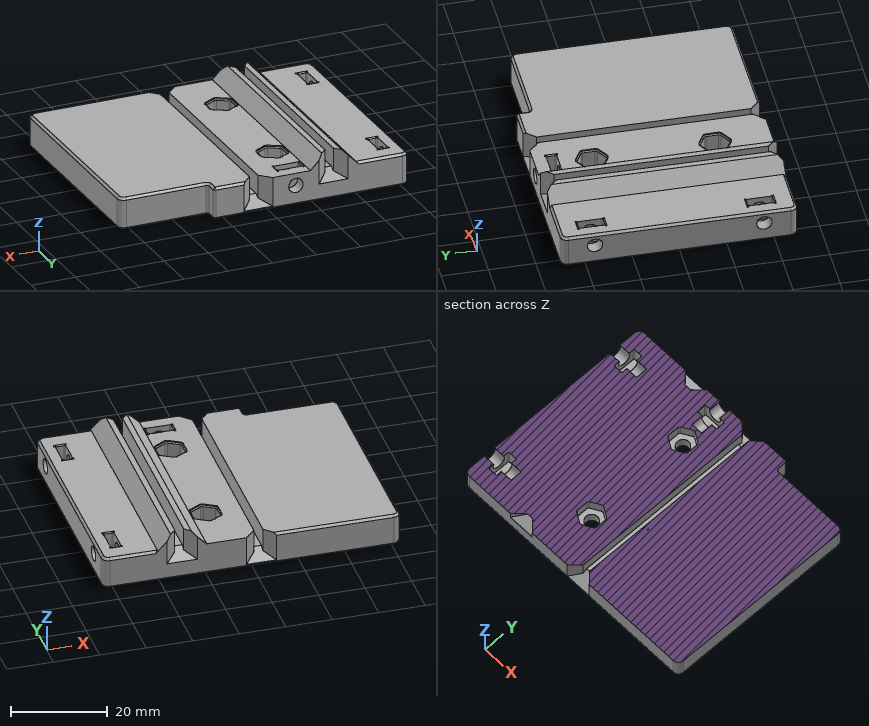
import cadquery as cq

LENGTH = 64.0
WIDTH = 50.0
HEIGHT = 10.0
PLATE_HEIGHT = 7.0
CORNER_RADIUS = 1.5
TOP_CHAMFER = 0.5
BOTTOM_CHAMFER = 0.25

NOTCH_LEFT = 44.1
NOTCH_DEPTH = 2.95
NOTCH_CORNER_RADIUS = 0.5

RIDGE_X = 17.0
RIDGE_TOP_WIDTH = 4.5
RIDGE_RISE = HEIGHT - PLATE_HEIGHT

GROOVE_WIDTH = 1.9
GROOVE_SPACING = 17.0
RIDGE_GROOVE_FLOOR = 5.5
PLATE_GROOVE_FLOOR = 2.4
FLARE_LENGTH = 2.3
RAMP_LENGTH = 3.4
RAMP_DROP = 1.9

SCREW_DIAMETER = 3.2
NUT_X = 25.55
NUT_FLATS = 5.6
NUT_POCKET_DEPTH = 4.5
NUT_POCKET_RADIUS = 0.5
NUT_INSET_Y = 12.0
MOUTH_CHAMFER = 0.25

SLOT_THICKNESS = 2.25
SLOT_LENGTH = 5.6
SLOT_RADIUS = 0.25
SLOT_MOUTH_THICKNESS = 2.7
SLOT_FLOOR = 1.3
SLOT_SETBACK = 4.0
SIDE_SCREW_INSET_Y = 7.1
SIDE_SCREW_Z = 4.2
SIDE_SCREW_DEPTH = 8.0


def make_plate():
    notch_y = WIDTH - NOTCH_DEPTH
    outline = [
        (0, 0),
        (LENGTH, 0),
        (LENGTH, notch_y),
        (NOTCH_LEFT, notch_y),
        (NOTCH_LEFT, WIDTH),
        (0, WIDTH),
    ]
    plate = cq.Workplane("XY").polyline(outline).close().extrude(PLATE_HEIGHT)
    plate = plate.edges("|Z and (<X or >X)").fillet(CORNER_RADIUS)
    for corner_y in (notch_y, WIDTH):
        corner = cq.selectors.NearestToPointSelector((NOTCH_LEFT, corner_y, PLATE_HEIGHT / 2))
        plate = plate.edges(corner).fillet(NOTCH_CORNER_RADIUS)
    plate = plate.faces(">Z").chamfer(TOP_CHAMFER)
    return plate.faces("<Z").chamfer(BOTTOM_CHAMFER)


def make_ridge():
    """Ridge and the square-edged plate top beside it, up to the plate groove."""
    half_top = RIDGE_TOP_WIDTH / 2
    half_base = half_top + RIDGE_RISE
    left_foot = RIDGE_X - half_base - TOP_CHAMFER
    right_end = RIDGE_X + GROOVE_SPACING
    foot_z = PLATE_HEIGHT - TOP_CHAMFER
    profile = [
        (left_foot, foot_z),
        (RIDGE_X - half_top, HEIGHT),
        (RIDGE_X + half_top, HEIGHT),
        (RIDGE_X + half_base, PLATE_HEIGHT),
        (right_end, PLATE_HEIGHT),
        (right_end, BOTTOM_CHAMFER),
        (left_foot, BOTTOM_CHAMFER),
    ]
    return cq.Workplane("XZ").polyline(profile).close().extrude(-WIDTH)


def make_groove(center_x, floor_z):
    """Groove with ends that widen sideways and ramp down."""
    half = GROOVE_WIDTH / 2
    wide = half + FLARE_LENGTH
    plan = [
        (-wide, 0),
        (wide, 0),
        (half, FLARE_LENGTH),
        (half, WIDTH - FLARE_LENGTH),
        (wide, WIDTH),
        (-wide, WIDTH),
        (-half, WIDTH - FLARE_LENGTH),
        (-half, FLARE_LENGTH),
    ]
    side = [
        (0, floor_z - RAMP_DROP),
        (RAMP_LENGTH, floor_z),
        (WIDTH - RAMP_LENGTH, floor_z),
        (WIDTH, floor_z - RAMP_DROP),
        (WIDTH, HEIGHT),
        (0, HEIGHT),
    ]
    plan_cut = cq.Workplane("XY").polyline(plan).close().extrude(HEIGHT)
    side_cut = cq.Workplane("YZ").polyline(side).close().extrude(wide, both=True)
    return plan_cut.intersect(side_cut).translate((center_x, 0, 0))


def make_hexagon(flats, bottom_z, height):
    """Hexagonal prism with two flats facing along X."""
    return cq.Workplane("XY", origin=(0, 0, bottom_z)).polygon(6, flats, circumscribed=True).extrude(height)


def make_vertical_screw(y):
    """Through hole with a hexagonal nut pocket that has a chamfered mouth."""
    hole = cq.Workplane("XY").circle(SCREW_DIAMETER / 2).extrude(PLATE_HEIGHT)
    pocket = make_hexagon(NUT_FLATS, PLATE_HEIGHT - NUT_POCKET_DEPTH, NUT_POCKET_DEPTH)
    pocket = pocket.edges("|Z").fillet(NUT_POCKET_RADIUS)
    mouth_depth = 2 * MOUTH_CHAMFER
    mouth = make_hexagon(NUT_FLATS + 2 * MOUTH_CHAMFER, PLATE_HEIGHT - mouth_depth, mouth_depth)
    mouth = mouth.edges("|Z").fillet(NUT_POCKET_RADIUS + MOUTH_CHAMFER)
    mouth = mouth.faces("<Z").chamfer(MOUTH_CHAMFER)
    return hole.union(pocket).union(mouth).translate((NUT_X, y, 0))


def make_side_screw():
    """Screw hole running in from a wall at X = 0, with a nut slot whose ends have chamfered mouths."""
    hole = (
        cq.Workplane("YZ", origin=(0, 0, SIDE_SCREW_Z))
        .circle(SCREW_DIAMETER / 2)
        .extrude(SIDE_SCREW_DEPTH)
    )
    slot_depth = PLATE_HEIGHT - SLOT_FLOOR
    slot = cq.Workplane("XY", origin=(SLOT_SETBACK, 0, SLOT_FLOOR))
    slot = slot.rect(SLOT_THICKNESS, SLOT_LENGTH).extrude(slot_depth)
    slot = slot.edges("|Z").fillet(SLOT_RADIUS)
    half = SLOT_LENGTH / 2
    mouth_profile = [
        (-half, PLATE_HEIGHT - MOUTH_CHAMFER),
        (-half - MOUTH_CHAMFER, PLATE_HEIGHT),
        (-half, PLATE_HEIGHT),
    ]
    mouth = (
        cq.Workplane("YZ", origin=(SLOT_SETBACK, 0, 0))
        .polyline(mouth_profile)
        .close()
        .extrude(SLOT_MOUTH_THICKNESS / 2, both=True)
    )
    return hole.union(slot).union(mouth).union(mouth.mirror("XZ"))


result = make_plate().union(make_ridge())
result = result.cut(make_groove(RIDGE_X, RIDGE_GROOVE_FLOOR))
result = result.cut(make_groove(RIDGE_X + GROOVE_SPACING, PLATE_GROOVE_FLOOR))

for screw_y in (NUT_INSET_Y, WIDTH - NUT_INSET_Y):
    result = result.cut(make_vertical_screw(screw_y))

side_screw = make_side_screw()
for screw_y in (SIDE_SCREW_INSET_Y, WIDTH - SIDE_SCREW_INSET_Y):
    result = result.cut(side_screw.translate((0, screw_y, 0)))

back_screw = side_screw.rotate((0, 0, 0), (0, 0, 1), -90)
result = result.cut(back_screw.translate((NUT_X, WIDTH, 0)))